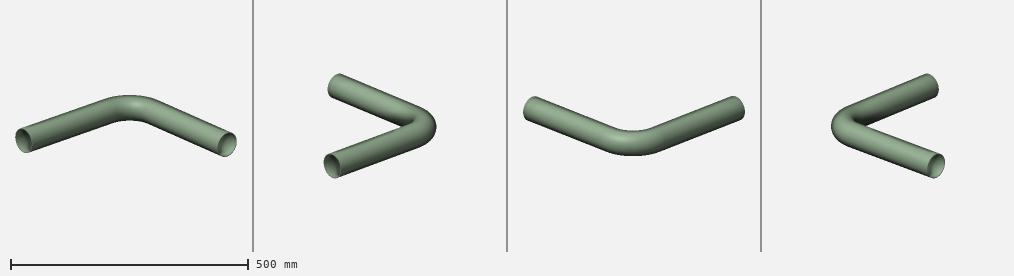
import cadquery as cq

outer_diameter = 54.0
inner_diameter = 51.0

bend_radius = 65.0
bend_angle = 90.0
y_leg_length = 240.0
x_leg_length = 235.0


def centreline_rod(diameter):
    """Solid round rod along the tube centreline, from the -Y end to the +X end."""
    radius = diameter / 2
    bend_start = (0, y_leg_length, 0)
    bend_end = (bend_radius, y_leg_length + bend_radius, 0)

    y_leg = cq.Workplane("XZ").circle(radius).extrude(-y_leg_length)

    bend = (
        cq.Workplane("XZ", origin=bend_start)
        .circle(radius)
        .revolve(bend_angle, (bend_radius, 0, 0), (bend_radius, -1, 0))
    )

    x_leg = cq.Workplane("YZ", origin=bend_end).circle(radius).extrude(x_leg_length)
    return y_leg.union(bend).union(x_leg)


result = centreline_rod(outer_diameter).cut(centreline_rod(inner_diameter))